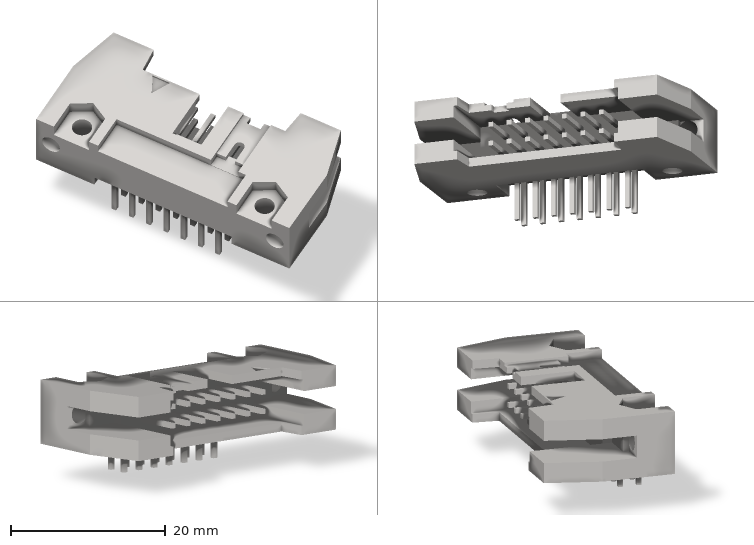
import cadquery as cq
import math


overall_width = 37.4
rear_width = 37.33
overall_depth = 17.3
body_height = 8.45
overall_height = 13.0
shoulder_y = 9.95
arm_tip_outer_x = 16.75
arm_tip_inner_x = 10.85
arm_root_x = 10.5
front_edge_y = 13.75

wall = 1.15
cavity_half_width = 11.35
cavity_floor_y = 7.35
slot_height = 3.03
slot_inner_y = 6.02
slot_outer_y = 5.2
slot_step_x = 15.5

hole_diameter = 2.6
mount_x = 13.45
mount_y = 2.85
nut_flats = 5.2
nut_pocket_depth = 1.72
side_hole_x = 16.5
side_hole_z = 4.45

top_pocket_width = 19.07
pocket_y = 4.97
pin_recess_width = 20.2
pin_recess_height = 1.45

window_width = 4.2
window_y = 6.45

channel_x = 6.4
channel_width = 4.05
channel_floor_rise = 0.07
tab_y = 6.55
tab_sink = 0.37
slit_width = 1.4
slit_end_y = 9.6
tab_notch_width = 2.05
tab_notch_depth = 1.0

mark_width = 2.55
mark_length = 2.6
mark_depth = 0.25

pins_per_row = 7
pitch = 2.55
pin_size = 0.65
pin_tip_y = 13.55
rear_pin_y = 1.1

half_rear = rear_width / 2
mid_z = body_height / 2
ceiling_z = body_height - wall
tab_thickness = wall - tab_sink
pin_length_below = overall_height - body_height


def block(x_min, x_max, y_min, y_max, z_min, z_max):
    size = (x_max - x_min, y_max - y_min, z_max - z_min)
    return cq.Workplane("XY").box(*size, centered=False).translate((x_min, y_min, z_min))


def centred_block(x_mid, width, y_min, y_max, z_min, z_max):
    return block(x_mid - width / 2, x_mid + width / 2, y_min, y_max, z_min, z_max)


def make_body():
    outline = [
        (-half_rear, 0),
        (half_rear, 0),
        (overall_width - half_rear, shoulder_y),
        (arm_tip_outer_x, overall_depth),
        (arm_tip_inner_x, overall_depth),
        (arm_root_x, front_edge_y),
        (-arm_root_x, front_edge_y),
        (-arm_tip_inner_x, overall_depth),
        (-arm_tip_outer_x, overall_depth),
        (-half_rear, shoulder_y),
    ]
    return cq.Workplane("XY").polyline(outline).close().extrude(body_height)


def make_cavity_and_slots():
    slot_bottom = mid_z - slot_height / 2
    slot_top = mid_z + slot_height / 2
    cavity = centred_block(0, 2 * cavity_half_width, cavity_floor_y, overall_depth, wall, ceiling_z)
    slots = centred_block(0, 2 * overall_width, slot_inner_y, overall_depth, slot_bottom, slot_top)
    divider = centred_block(0, 2 * cavity_half_width, slot_inner_y, cavity_floor_y, slot_bottom, slot_top)
    cutter = cavity.union(slots.cut(divider))
    for side in (-1, 1):
        x_limits = sorted((side * slot_step_x, side * overall_width))
        cutter = cutter.union(block(*x_limits, slot_outer_y, overall_depth, slot_bottom, slot_top))
    return cutter


def make_mount(side):
    x = side * mount_x
    bolt_hole = cq.Workplane("XY").center(x, mount_y).circle(hole_diameter / 2).extrude(body_height)
    nut_corner = nut_flats / math.sqrt(3)
    half_flats = nut_flats / 2
    pocket_outline = [
        (x - half_flats, 0),
        (x + half_flats, 0),
        (x + half_flats, mount_y + nut_corner / 2),
        (x, mount_y + nut_corner),
        (x - half_flats, mount_y + nut_corner / 2),
    ]
    nut_pocket = (
        cq.Workplane("XY").workplane(offset=body_height - nut_pocket_depth)
        .polyline(pocket_outline).close().extrude(nut_pocket_depth)
    )
    rear_hole = (
        cq.Workplane("XZ").center(side * side_hole_x, side_hole_z)
        .circle(hole_diameter / 2).extrude(-slot_outer_y)
    )
    return bolt_hole.union(nut_pocket).union(rear_hole)


def make_rear_recesses():
    top_pocket = centred_block(0, top_pocket_width, 0, pocket_y, ceiling_z, body_height)
    pin_recess = centred_block(0, pin_recess_width, 0, pocket_y, 0, pin_recess_height)
    return top_pocket.union(pin_recess)


def make_window():
    return centred_block(0, window_width, window_y, front_edge_y, ceiling_z, body_height)


def make_key_channel():
    floor_z = ceiling_z + channel_floor_rise
    floored = centred_block(channel_x, channel_width, pocket_y, cavity_floor_y, floor_z, body_height)
    over_cavity = centred_block(
        channel_x, channel_width, cavity_floor_y, front_edge_y, ceiling_z, body_height
    )
    return floored.union(over_cavity)


def make_latch_tab():
    top_z = body_height - tab_sink
    z_limits = (top_z - tab_thickness, top_z)
    tab = centred_block(channel_x, channel_width, tab_y, front_edge_y, *z_limits)
    slit_round_y = slit_end_y - slit_width / 2
    slit = centred_block(channel_x, slit_width, tab_y, slit_round_y, *z_limits)
    slit_round = (
        cq.Workplane("XY").workplane(offset=z_limits[0])
        .center(channel_x, slit_round_y).circle(slit_width / 2).extrude(tab_thickness)
    )
    notch_y = front_edge_y - tab_notch_depth
    notch = centred_block(channel_x, tab_notch_width, notch_y, front_edge_y, *z_limits)
    return tab.cut(slit).cut(slit_round).cut(notch)


def make_pin_one_mark():
    x = -(pins_per_row // 2) * pitch
    outline = [
        (x - mark_width / 2, pin_tip_y),
        (x + mark_width / 2, pin_tip_y),
        (x, pin_tip_y - mark_length),
    ]
    return (
        cq.Workplane("XY").workplane(offset=body_height - mark_depth)
        .polyline(outline).close().extrude(mark_depth)
    )


def make_pin(x, leg_y, row_z):
    half = pin_size / 2
    leg = centred_block(x, pin_size, leg_y - half, leg_y + half, -pin_length_below, row_z + half)
    contact = centred_block(x, pin_size, leg_y - half, pin_tip_y, row_z - half, row_z + half)
    return leg.union(contact)


result = make_body().cut(make_cavity_and_slots())
for side in (-1, 1):
    result = result.cut(make_mount(side))
result = result.cut(make_rear_recesses())
result = result.cut(make_window())
result = result.cut(make_key_channel())
result = result.union(make_latch_tab())
result = result.cut(make_pin_one_mark())

for index in range(pins_per_row):
    pin_x = (index - (pins_per_row - 1) / 2) * pitch
    result = result.union(make_pin(pin_x, rear_pin_y, mid_z + pitch / 2))
    result = result.union(make_pin(pin_x, rear_pin_y + pitch, mid_z - pitch / 2))